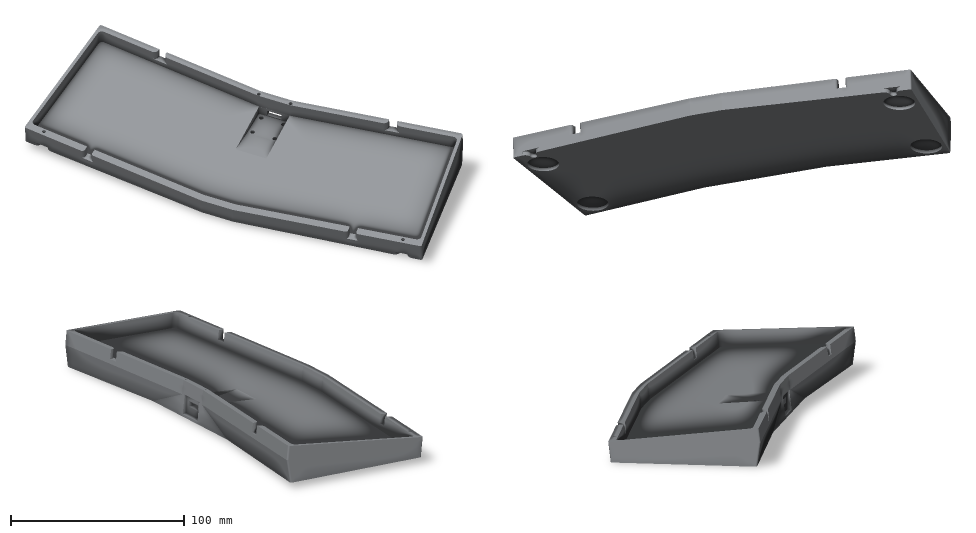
import cadquery as cq
import math


TILT_ANGLE = 7.0
ROLL_ANGLE = 0.85
FRONT_HEIGHT = 10.5

WING_ANGLE = 7.0
MIDDLE_HALF = 10.0
LEFT_WING = 117.5
RIGHT_WING = 113.3
RIM_DEPTH = 89.0
CORNER_RADIUS = 1.0
BLANK_HEIGHT = 34.9

RIDGE_DROP = 8.7
UNDERCUT_ANGLE = 15.0

FRONT_WALL = 4.5
REAR_WALL = 3.7
SIDE_WALL = 2.0
TRAY_DEPTH = 9.5
TRAY_RADIUS = 2.5

NOTCH_WIDTH = 5.0
NOTCH_DEPTH = 6.0
NOTCH_FROM_END = 41.8
NOTCH_REACH = 6.2
FRONT_NOTCH_ROUND = 1.5
REAR_NOTCH_ROUND = 2.7

RIM_HOLE_DIAMETER = 2.2
RIM_HOLE_DEPTH = 6.2
REAR_HOLE_TO_TRAY = 1.2
FRONT_HOLE_INSET = 2.5
FRONT_HOLE_FROM_END = 11.7

RELIEF_WIDTH = 4.0
RELIEF_ROUND = 3.5
RELIEF_LENGTH = 3.7
RELIEF_HEIGHT = 2.5

FOOT_DIAMETER = 18.5
FOOT_DEPTH = 2.0
FOOT_FROM_END = 11.5
FOOT_FROM_WALL = 15.2

POCKET_WIDTH = 19.2
POCKET_FRONT = 51.0
POCKET_STEP = 68.0
POCKET_REAR = 85.7
POCKET_FLOOR = 5.7
BOARD_HOLE_DIAMETER = 2.7
BOARD_HOLE_DEPTH = 2.5
BOARD_HOLE_HALF_SPAN = 7.0
BOARD_HOLE_ROWS = (70.0, 83.0)

PORT_WIDTH = 9.0
PORT_HEIGHT = 3.5
PORT_LIFT = 0.7
PLUG_WIDTH = 15.0
PLUG_BOTTOM = 1.5
PLUG_TOP = 13.2
PLUG_START = 88.1

SIN_WING = math.sin(math.radians(WING_ANGLE))
COS_WING = math.cos(math.radians(WING_ANGLE))
SIN_TILT = math.sin(math.radians(TILT_ANGLE))
COS_TILT = math.cos(math.radians(TILT_ANGLE))
TRAY_REAR = RIM_DEPTH - REAR_WALL
BEYOND = 2 * (LEFT_WING + RIGHT_WING)
CLEARANCE = 1.2

WINGS = ((-1, LEFT_WING), (1, RIGHT_WING))


def wing_point(side, length, from_end, middle_y=0.0, inward=0.0):
    """Point set in from a wing's end, on the wall line that meets the middle at middle_y."""
    along = length - middle_y * SIN_WING - from_end
    x = MIDDLE_HALF + along * COS_WING - inward * SIN_WING
    y = middle_y + along * SIN_WING + inward * COS_WING
    return (side * x, y)


def outline(front_y, rear_y, side_inset=0.0):
    """Closed plan between two wall lines, with square wing ends."""
    points = []
    for side, length in WINGS:
        wing = [
            (side * MIDDLE_HALF, front_y),
            wing_point(side, length, side_inset, front_y),
            wing_point(side, length, side_inset, rear_y),
            (side * MIDDLE_HALF, rear_y),
        ]
        points += wing if side > 0 else wing[::-1]
    return cq.Workplane("XY").polyline(points).close()


def round_wing_ends(body, radius):
    """Fillet the upright edges of the four outer corners."""
    least_rise = math.cos(math.radians(2 * UNDERCUT_ANGLE))
    uprights = body.edges().filter(
        lambda edge: abs(edge.Center().x) > RIGHT_WING / 2 and abs(edge.tangentAt(0).z) > least_rise
    )
    return body.newObject(uprights.vals()).fillet(radius)


def place_on_wing(body, side, point):
    """Turn a cutter made at the origin to match a wing and move it to a plan point."""
    return body.rotate((0, 0, 0), (0, 0, 1), side * WING_ANGLE).translate((*point, 0))


def make_blank():
    """Solid block under the outline, undercut along the rear of each wing."""
    blank = outline(0, RIM_DEPTH).extrude(-BLANK_HEIGHT)
    lean = (BLANK_HEIGHT - RIDGE_DROP) * math.tan(math.radians(UNDERCUT_ANGLE))
    profile = [(0, -RIDGE_DROP), (-lean, -BLANK_HEIGHT), (CLEARANCE, -BLANK_HEIGHT), (CLEARANCE, -RIDGE_DROP)]
    straight_part = cq.Workplane("XY").box(BEYOND, 2 * RIM_DEPTH, BEYOND)
    for side, length in WINGS:
        wedge = cq.Workplane("YZ").polyline(profile).close().extrude(side * BEYOND / 2)
        wedge = place_on_wing(wedge, side, (side * MIDDLE_HALF, RIM_DEPTH))
        blank = blank.cut(wedge.cut(straight_part))
    return round_wing_ends(blank, CORNER_RADIUS)


def make_tray():
    """Hollow inside the walls, down to a floor parallel to the rim."""
    plan = outline(FRONT_WALL, TRAY_REAR, SIDE_WALL)
    return round_wing_ends(plan.extrude(-TRAY_DEPTH), TRAY_RADIUS)


def flared_slot(width, flare, length, height):
    """Slot running back from y = 0 for a length, its front mouth flared by quarter rounds."""
    half = width / 2
    mouth = half + flare
    arc_x = mouth - flare * math.sqrt(0.5)
    arc_y = flare - flare * math.sqrt(0.5)
    return (
        cq.Workplane("XY").moveTo(-mouth, -CLEARANCE).lineTo(-mouth, 0)
        .threePointArc((-arc_x, arc_y), (-half, flare))
        .lineTo(-half, length).lineTo(half, length).lineTo(half, flare)
        .threePointArc((arc_x, arc_y), (mouth, 0))
        .lineTo(mouth, -CLEARANCE).close().extrude(height)
    )


def cut_notches(case):
    """One notch through the front wall and one through the rear wall of each wing."""
    for side, length in WINGS:
        for middle_y, flare in ((0, FRONT_NOTCH_ROUND), (TRAY_REAR, REAR_NOTCH_ROUND)):
            point = wing_point(side, length, NOTCH_FROM_END, middle_y)
            notch = flared_slot(NOTCH_WIDTH, flare, NOTCH_REACH, -NOTCH_DEPTH)
            case = case.cut(place_on_wing(notch, side, point))
    return case


def cut_rim_holes(case):
    """Blind holes near the front corners and at the rear bends."""
    points = []
    for side, length in WINGS:
        points.append(wing_point(side, length, FRONT_HOLE_FROM_END, inward=FRONT_HOLE_INSET))
        points.append((side * MIDDLE_HALF, TRAY_REAR + REAR_HOLE_TO_TRAY))
    holes = cq.Workplane("XY").pushPoints(points).circle(RIM_HOLE_DIAMETER / 2).extrude(-RIM_HOLE_DEPTH)
    return case.cut(holes)


def base_point(x, y):
    """Where a line square to the rim at a plan point meets the flat underside after tilting."""
    return (x, (y + FRONT_HEIGHT * SIN_TILT) / COS_TILT)


def tilt_and_trim(case):
    """Raise the rear and cut the underside flat at z = 0."""
    case = case.rotate((0, 0, 0), (1, 0, 0), TILT_ANGLE).translate((0, 0, FRONT_HEIGHT))
    below = cq.Workplane("XY").box(BEYOND, BEYOND, BLANK_HEIGHT, centered=(True, True, False))
    return case.cut(below.translate((0, 0, -BLANK_HEIGHT)))


def tray_floor_height(y):
    """Height of the tilted tray floor above the underside."""
    return FRONT_HEIGHT + (y * SIN_TILT - TRAY_DEPTH) / COS_TILT


def cut_pocket(case):
    """Level pocket for the connector board, with a ramp up to the tray floor."""
    floor_at_front = tray_floor_height(POCKET_FRONT)
    floor_at_rear = tray_floor_height(POCKET_REAR)
    profile = [
        (POCKET_FRONT, floor_at_front),
        (POCKET_STEP, POCKET_FLOOR),
        (POCKET_REAR, POCKET_FLOOR),
        (POCKET_REAR, floor_at_rear),
    ]
    pocket = cq.Workplane("YZ").polyline(profile).close().extrude(POCKET_WIDTH / 2, both=True)
    points = [(side * BOARD_HOLE_HALF_SPAN, y) for side in (-1, 1) for y in BOARD_HOLE_ROWS]
    holes = (
        cq.Workplane("XY").workplane(offset=POCKET_FLOOR).pushPoints(points)
        .circle(BOARD_HOLE_DIAMETER / 2).extrude(-BOARD_HOLE_DEPTH)
    )
    return case.cut(pocket).cut(holes)


def cut_port(case):
    """Slot through the rear wall behind the pocket and the plug recess outside it."""
    port = (
        cq.Workplane("XY").box(PORT_WIDTH, BEYOND, PORT_HEIGHT, centered=(True, False, False))
        .translate((0, POCKET_STEP, POCKET_FLOOR + PORT_LIFT))
    )
    plug = (
        cq.Workplane("XY").box(PLUG_WIDTH, BEYOND, PLUG_TOP - PLUG_BOTTOM, centered=(True, False, False))
        .translate((0, PLUG_START, PLUG_BOTTOM))
    )
    return case.cut(port).cut(plug)


def cut_reliefs(case):
    """Flared slots with a round end that break out through the front wall at its foot."""
    for side, length in WINGS:
        x, y = wing_point(side, length, FRONT_HOLE_FROM_END)
        slot = flared_slot(RELIEF_WIDTH, RELIEF_ROUND, RELIEF_LENGTH, RELIEF_HEIGHT)
        round_end = cq.Workplane("XY").circle(RELIEF_WIDTH / 2).extrude(RELIEF_HEIGHT)
        relief = slot.union(round_end.translate((0, RELIEF_LENGTH, 0)))
        case = case.cut(place_on_wing(relief, side, base_point(x, y)))
    return case


def cut_feet(case):
    """Four blind recesses in the flat underside."""
    points = []
    for side, length in WINGS:
        for middle_y, inward in ((0, FOOT_FROM_WALL), (RIM_DEPTH, -FOOT_FROM_WALL)):
            points.append(base_point(*wing_point(side, length, FOOT_FROM_END, middle_y, inward)))
    feet = cq.Workplane("XY").pushPoints(points).circle(FOOT_DIAMETER / 2).extrude(FOOT_DEPTH)
    return case.cut(feet)


case = make_blank().cut(make_tray())
case = cut_notches(case)
case = cut_rim_holes(case)
case = tilt_and_trim(case)
case = cut_pocket(case)
case = cut_port(case)
case = cut_reliefs(case)
case = cut_feet(case)
result = case.rotate((0, 0, 0), (0, 1, 0), ROLL_ANGLE)